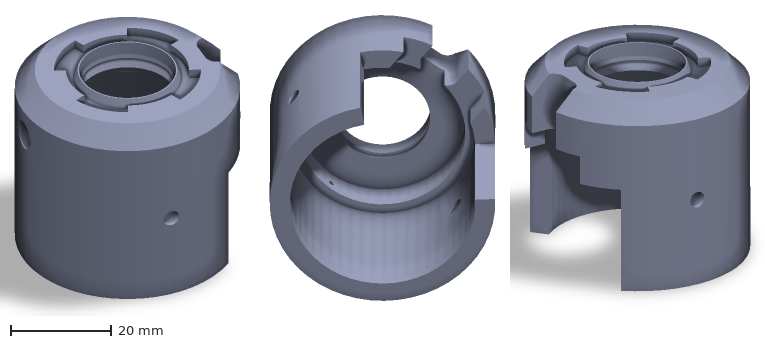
import cadquery as cq
import math

outer_radius = 22.5
height = 40.0
top_chamfer = 4.0

bore_radius = 9.68
throat_radius = 9.5
groove_radius = 10.25
lip_top_radius = 9.95
lip_base_radius = 10.8
bore_depth = 2.9
throat_depth = 3.7
groove_depth = 4.7
bore_end_depth = 6.0

upper_cavity_radius = 16.5
lower_cavity_radius = 18.5
cavity_step_depth = 12.0

recess_depth = 2.0
recess_radius = 12.3
pocket_radius = 14.65
pocket_count = 4
first_pocket_angle = 45.0
pocket_angle = 45.0

notch_width = 9.0
notch_floor_y = 16.0
notch_corner_radius = 2.5
slot_width = 20.5
slot_top_depth = cavity_step_depth
sector_top_depth = 18.0
sector_half_angle = 49.5

cross_hole_radius = 1.65
cross_hole_height = 18.45
pin_hole_radius = 0.6
countersink_radius = 3.0
countersink_rim_y = -22.25
drill_point_angle = 118.0
pin_hole_height = height - 9.6


def cylinder(radius, bottom, top):
    """Solid cylinder on the Z axis between two heights."""
    return cq.Workplane("XY").workplane(offset=bottom).circle(radius).extrude(top - bottom)


def sector(radius, center_angle, half_angle, bottom, top):
    """Pie-shaped solid centred on the Z axis; angles are in degrees from +X."""
    def rim_point(offset):
        angle = math.radians(center_angle + offset)
        return radius * math.cos(angle), radius * math.sin(angle)

    return (
        cq.Workplane("XY")
        .workplane(offset=bottom)
        .lineTo(*rim_point(-half_angle))
        .threePointArc(rim_point(0), rim_point(half_angle))
        .close()
        .extrude(top - bottom)
    )


def make_body():
    """Chamfered cylinder hollowed out by the bore and the stepped cavity."""
    body = cylinder(outer_radius, 0, height).faces(">Z").chamfer(top_chamfer)
    hollow = (
        cq.Workplane("XZ")
        .moveTo(0, 0)
        .lineTo(lower_cavity_radius, 0)
        .lineTo(lower_cavity_radius, height - cavity_step_depth)
        .lineTo(upper_cavity_radius, height - cavity_step_depth)
        .lineTo(upper_cavity_radius, height - bore_end_depth)
        .lineTo(throat_radius, height - bore_end_depth)
        .lineTo(groove_radius, height - groove_depth)
        .lineTo(groove_radius, height - throat_depth)
        .lineTo(throat_radius, height - throat_depth)
        .lineTo(bore_radius, height - bore_depth)
        .lineTo(bore_radius, height)
        .lineTo(0, height)
        .close()
        .revolve(360, (0, 0, 0), (0, 1, 0))
    )
    return body.cut(hollow)


def make_top_recess():
    """Ring recess with diagonal pockets, leaving the tapered lip standing."""
    floor = height - recess_depth
    recess = cylinder(recess_radius, floor, height)
    for index in range(pocket_count):
        center_angle = first_pocket_angle + index * 360 / pocket_count
        recess = recess.union(sector(pocket_radius, center_angle, pocket_angle / 2, floor, height))
    lip = (
        cq.Workplane("XY")
        .workplane(offset=floor)
        .circle(lip_base_radius)
        .workplane(offset=recess_depth)
        .circle(lip_top_radius)
        .loft(ruled=True)
    )
    return recess.cut(lip)


def make_side_opening():
    """Notch, wider slot and wide sector cut through the +Y wall."""
    notch = (
        cq.Workplane("XY")
        .rect(notch_width, 2 * (outer_radius - notch_floor_y))
        .extrude(height)
        .edges("|Z and <Y")
        .fillet(notch_corner_radius)
        .translate((0, outer_radius, 0))
    )
    slot = cq.Workplane("XY").box(
        slot_width, outer_radius, height - slot_top_depth, centered=(True, False, False)
    )
    wide_sector = sector(2 * outer_radius, 90, sector_half_angle, 0, height - sector_top_depth)
    return notch.union(slot).union(wide_sector)


def make_cross_hole():
    """Hole along X through both walls."""
    return (
        cq.Workplane("YZ")
        .center(0, cross_hole_height)
        .circle(cross_hole_radius)
        .extrude(outer_radius, both=True)
    )


def make_pin_hole():
    """Small hole through the -Y wall with a drill-point countersink."""
    cone_depth = (countersink_radius - pin_hole_radius) / math.tan(math.radians(drill_point_angle / 2))
    return (
        cq.Workplane("XY")
        .moveTo(0, -outer_radius)
        .lineTo(countersink_radius, -outer_radius)
        .lineTo(countersink_radius, countersink_rim_y)
        .lineTo(pin_hole_radius, countersink_rim_y + cone_depth)
        .lineTo(pin_hole_radius, 0)
        .lineTo(0, 0)
        .close()
        .revolve(360, (0, 0, 0), (0, 1, 0))
        .translate((0, 0, pin_hole_height))
    )


result = (
    make_body()
    .cut(make_top_recess())
    .cut(make_side_opening())
    .cut(make_cross_hole())
    .cut(make_pin_hole())
)